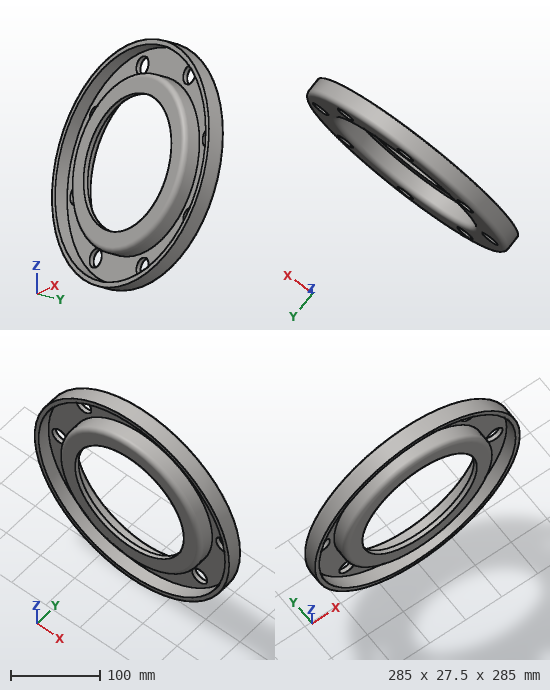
import cadquery as cq
import math

outer_radius = 142.5
sheet = 6.0
rim_depth = 23.0
total_depth = 27.5
hub_radius = 103.5
bore_radius = 79.5
bend_radius = 6.0
bolt_circle_radius = 120.0
bolt_hole_diameter = 22.0
bolt_hole_count = 8


def disc(radius, back, front):
    """Solid disc about the Y axis, between two distances in front of the back face."""
    return cq.Workplane("XZ", origin=(0, -back, 0)).circle(radius).extrude(front - back)


def make_rim():
    """Web with the outer rim, rounded at the back corner."""
    dish = disc(outer_radius, 0, rim_depth).faces(">Y").edges().fillet(bend_radius)
    return dish.cut(disc(outer_radius - sheet, sheet, rim_depth))


def make_hub():
    """Raised hub, rounded at the front corner."""
    return disc(hub_radius, 0, total_depth).faces("<Y").edges().fillet(bend_radius)


def make_bolt_holes():
    return (
        cq.Workplane("XZ")
        .polarArray(bolt_circle_radius, 0, 360, bolt_hole_count)
        .circle(bolt_hole_diameter / 2)
        .extrude(sheet)
    )


def make_hub_recess():
    """Hollow behind the hub, flaring out to a rounded mouth at the back face."""
    recess_radius = hub_radius - sheet
    mouth_radius = recess_radius + bend_radius
    mid_bend = bend_radius * (1 - math.sqrt(0.5))
    return (
        cq.Workplane("XY")
        .lineTo(mouth_radius, 0)
        .threePointArc((recess_radius + mid_bend, -mid_bend), (recess_radius, -bend_radius))
        .lineTo(recess_radius, sheet - total_depth)
        .lineTo(0, sheet - total_depth)
        .close()
        .revolve(360, (0, 0, 0), (0, 1, 0))
    )


bore = disc(bore_radius, 0, total_depth)

result = make_rim().union(make_hub()).cut(make_hub_recess()).cut(bore).cut(make_bolt_holes())